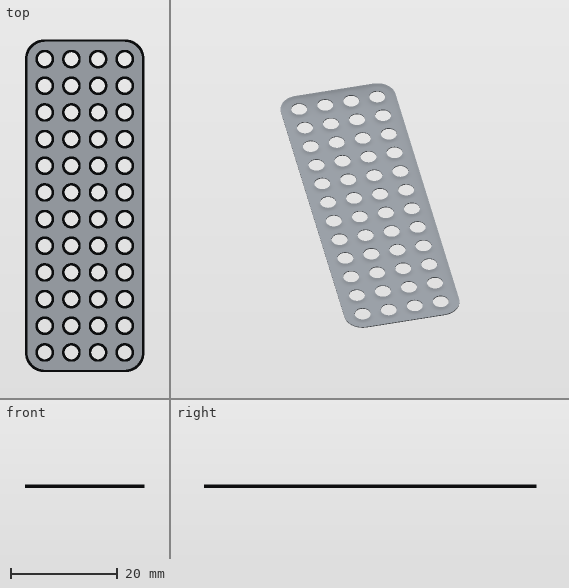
import cadquery as cq

hole_diameter = 3.0
hole_pitch = 5.0
hole_columns = 4
hole_rows = 12

edge_margin = 3.5
plate_width = (hole_columns - 1) * hole_pitch + 2 * edge_margin
plate_length = (hole_rows - 1) * hole_pitch + 2 * edge_margin
plate_thickness = 0.2
corner_radius = edge_margin


def make_plate():
    """Thin rectangular sheet with rounded corners."""
    sheet = cq.Workplane("XY").box(plate_width, plate_length, plate_thickness)
    return sheet.edges("|Z").fillet(corner_radius)


def drill_hole_grid(plate):
    """Drill the regular grid of through holes."""
    return (
        plate.faces(">Z")
        .workplane()
        .rarray(hole_pitch, hole_pitch, hole_columns, hole_rows)
        .hole(hole_diameter)
    )


result = drill_hole_grid(make_plate())